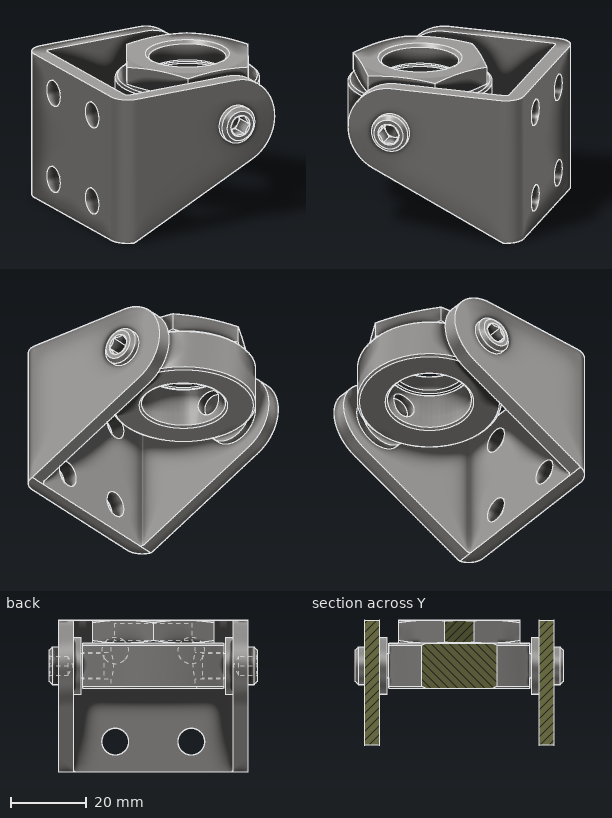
import cadquery as cq
import math


BRACKET_WIDTH = 50.0
SHEET = 4.0
BEND_OUTER_RADIUS = 5.0
BEND_INNER_RADIUS = BEND_OUTER_RADIUS - SHEET
ARM_END_RADIUS = 12.0
BRACKET_HEIGHT = 40.0
FRONT_FACE_Y = -35.0
BRACKET_TOP = ARM_END_RADIUS
BRACKET_BOTTOM = BRACKET_TOP - BRACKET_HEIGHT
ARM_FOOT_LENGTH = 4.0

MOUNT_HOLE_DIAMETER = 7.0
MOUNT_HOLE_SPACING_X = 20.0
MOUNT_HOLE_SPACING_Z = 24.0
MOUNT_HOLE_TOP_MARGIN = 8.0

OVERALL_WIDTH = 55.0
HEAD_DIAMETER = 10.0
HEAD_CHAMFER = 1.0
COLLAR_DIAMETER = 15.0
COLLAR_THICKNESS = 2.0
TRUNNION_DIAMETER = 6.4
TRUNNION_TIP_X = 13.0
SOCKET_ACROSS_FLATS = 5.0
SOCKET_DEPTH = 5.0
SOCKET_CONE_DEPTH = 1.45

RING_RADIUS = 19.05
RING_HEIGHT = 12.0
RING_CHAMFER = 0.6
RING_FLAT_X = 18.6
RING_BORE_DIAMETER = 22.1
PIVOT_HOLE_DIAMETER = 6.95

NUT_ACROSS_FLATS = 32.0
NUT_BORE_DIAMETER = 20.35
NUT_BORE_MOUTH_DIAMETER = 22.1
NUT_BORE_SEAT_CHAMFER = 0.65
NUT_CHAMFER_ANGLE = 15.0
NUT_BOTTOM = RING_HEIGHT / 2
NUT_HEIGHT = BRACKET_TOP - NUT_BOTTOM

HEXAGON_CORNER_RATIO = 1 / math.cos(math.radians(30))


def bent_sheet():
    """Sheet bent to a U about the Z direction, at full height all round."""
    depth = ARM_END_RADIUS - FRONT_FACE_Y
    outer = (
        cq.Workplane("XY", origin=(0, FRONT_FACE_Y + depth / 2, BRACKET_BOTTOM))
        .rect(BRACKET_WIDTH, depth)
        .extrude(BRACKET_HEIGHT)
        .edges("|Z and <Y")
        .fillet(BEND_OUTER_RADIUS)
    )
    inner = (
        cq.Workplane("XY", origin=(0, FRONT_FACE_Y + SHEET + depth / 2, BRACKET_BOTTOM))
        .rect(BRACKET_WIDTH - 2 * SHEET, depth)
        .extrude(BRACKET_HEIGHT)
        .edges("|Z and <Y")
        .fillet(BEND_INNER_RADIUS)
    )
    return outer.cut(inner)


def arm_profile():
    """Side outline of the arms: round end, with a straight edge sloping down to the front wall."""
    foot_y = FRONT_FACE_Y + ARM_FOOT_LENGTH
    foot_distance = math.hypot(foot_y, BRACKET_BOTTOM)
    foot_angle = math.atan2(BRACKET_BOTTOM, foot_y)
    tangent_angle = foot_angle + math.acos(ARM_END_RADIUS / foot_distance)
    tangent_y = ARM_END_RADIUS * math.cos(tangent_angle)
    tangent_z = ARM_END_RADIUS * math.sin(tangent_angle)
    return (
        cq.Workplane("YZ", origin=(-BRACKET_WIDTH / 2, 0, 0))
        .moveTo(FRONT_FACE_Y, BRACKET_TOP)
        .lineTo(0, BRACKET_TOP)
        .threePointArc((ARM_END_RADIUS, 0), (tangent_y, tangent_z))
        .lineTo(foot_y, BRACKET_BOTTOM)
        .lineTo(FRONT_FACE_Y, BRACKET_BOTTOM)
        .close()
        .extrude(BRACKET_WIDTH)
    )


def mounting_holes():
    """Four through holes for the front wall."""
    centre_z = BRACKET_TOP - MOUNT_HOLE_TOP_MARGIN - MOUNT_HOLE_SPACING_Z / 2
    return (
        cq.Workplane("XZ", origin=(0, FRONT_FACE_Y + SHEET, centre_z))
        .rarray(MOUNT_HOLE_SPACING_X, MOUNT_HOLE_SPACING_Z, 2, 2)
        .circle(MOUNT_HOLE_DIAMETER / 2)
        .extrude(SHEET)
    )


def x_cylinder(diameter, start_x, end_x):
    """Cylinder on the swivel axis."""
    return cq.Workplane("YZ", origin=(start_x, 0, 0)).circle(diameter / 2).extrude(end_x - start_x)


def pivot_pin():
    """Pivot of the +X arm: chamfered head outside, collar inside and a trunnion into the ring."""
    head_end = OVERALL_WIDTH / 2
    arm_inner = BRACKET_WIDTH / 2 - SHEET
    collar_inner = arm_inner - COLLAR_THICKNESS
    head = x_cylinder(HEAD_DIAMETER, arm_inner, head_end).faces(">X").chamfer(HEAD_CHAMFER)
    collar = x_cylinder(COLLAR_DIAMETER, collar_inner, arm_inner)
    trunnion = x_cylinder(TRUNNION_DIAMETER, TRUNNION_TIP_X, collar_inner)
    return head.union(collar).union(trunnion)


def pivot_socket():
    """Hexagon socket of the +X pivot: countersunk mouth, conical bottom, flats facing up and down."""
    head_end = OVERALL_WIDTH / 2
    floor_x = head_end - SOCKET_DEPTH
    corner_radius = SOCKET_ACROSS_FLATS / 2 * HEXAGON_CORNER_RATIO
    hexagon = (
        cq.Workplane("YZ", origin=(floor_x, 0, 0))
        .polygon(6, 2 * corner_radius)
        .extrude(SOCKET_DEPTH)
    )
    bottom = inward_cone(SOCKET_ACROSS_FLATS / 2, SOCKET_CONE_DEPTH, floor_x)
    countersink = inward_cone(corner_radius, corner_radius, head_end)
    return hexagon.union(bottom).union(countersink)


def inward_cone(radius, depth, base_x):
    """Cone on the swivel axis with its base at base_x and its tip toward -X."""
    return cq.Workplane(
        cq.Solid.makeCone(radius, 0, depth, cq.Vector(base_x, 0, 0), cq.Vector(-1, 0, 0))
    )


def make_bracket():
    """Bent bracket together with the two pivots fixed in its arms."""
    sheet = bent_sheet().intersect(arm_profile()).cut(mounting_holes())
    pivot = pivot_pin()
    socket = pivot_socket()
    solid_bracket = sheet.union(pivot).union(pivot.mirror("YZ"))
    return solid_bracket.cut(socket).cut(socket.mirror("YZ"))


def chamfered_bore(bottom_z, top_z, diameter, bottom_chamfer, top_chamfer):
    """Tool for a bore on the Z axis that is widened at 45 degrees at both ends."""
    radius = diameter / 2
    return (
        cq.Workplane("XZ")
        .moveTo(0, bottom_z)
        .lineTo(radius + bottom_chamfer, bottom_z)
        .lineTo(radius, bottom_z + bottom_chamfer)
        .lineTo(radius, top_z - top_chamfer)
        .lineTo(radius + top_chamfer, top_z)
        .lineTo(0, top_z)
        .close()
        .revolve(360, (0, 0), (0, 1))
    )


def make_ring():
    """Swivel ring with side flats and a pivot hole on each side."""
    half_height = RING_HEIGHT / 2
    body = (
        cq.Workplane("XY", origin=(0, 0, -half_height))
        .circle(RING_RADIUS)
        .extrude(RING_HEIGHT)
        .faces("<Z or >Z")
        .chamfer(RING_CHAMFER)
    )
    between_flats = cq.Workplane("XY").box(2 * RING_FLAT_X, 2 * RING_RADIUS, RING_HEIGHT)
    bore = chamfered_bore(-half_height, half_height, RING_BORE_DIAMETER, RING_CHAMFER, RING_CHAMFER)
    pivot_holes = x_cylinder(PIVOT_HOLE_DIAMETER, -RING_RADIUS, RING_RADIUS)
    return body.intersect(between_flats).cut(bore).cut(pivot_holes)


def make_nut():
    """Hexagon nut with turned corners and a chamfered bore."""
    corner_radius = NUT_ACROSS_FLATS / 2 * HEXAGON_CORNER_RATIO
    corner_drop = (corner_radius - NUT_ACROSS_FLATS / 2) * math.tan(math.radians(NUT_CHAMFER_ANGLE))
    hexagon = (
        cq.Workplane("XY", origin=(0, 0, NUT_BOTTOM))
        .polygon(6, 2 * corner_radius)
        .extrude(NUT_HEIGHT)
        .rotate((0, 0, 0), (0, 0, 1), 90)
    )
    turned_blank = (
        cq.Workplane("XZ")
        .moveTo(0, NUT_BOTTOM)
        .lineTo(NUT_ACROSS_FLATS / 2, NUT_BOTTOM)
        .lineTo(corner_radius, NUT_BOTTOM + corner_drop)
        .lineTo(corner_radius, BRACKET_TOP - corner_drop)
        .lineTo(NUT_ACROSS_FLATS / 2, BRACKET_TOP)
        .lineTo(0, BRACKET_TOP)
        .close()
        .revolve(360, (0, 0), (0, 1))
    )
    mouth_chamfer = (NUT_BORE_MOUTH_DIAMETER - NUT_BORE_DIAMETER) / 2
    bore = chamfered_bore(NUT_BOTTOM, BRACKET_TOP, NUT_BORE_DIAMETER, NUT_BORE_SEAT_CHAMFER, mouth_chamfer)
    return hexagon.intersect(turned_blank).cut(bore)


bracket = make_bracket().solids()
ring = make_ring().solids()
nut = make_nut().solids()

result = cq.Compound.makeCompound([bracket.val(), ring.val(), nut.val()])